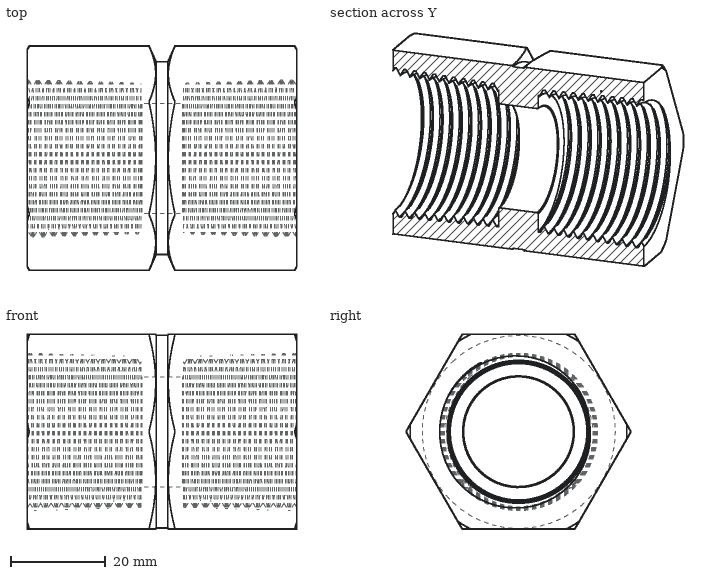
import math

import cadquery as cq

LENGTH = 57.0
ACROSS_FLATS = 41.2
CORNER_RADIUS = 0.5

END_FACE_RADIUS = 22.9
END_CHAMFER_ANGLE = 30.0

GROOVE_WIDTH = 2.5
GROOVE_RADIUS = 20.4
SHOULDER_ANGLE = 24.0

BORE_RADIUS = 11.6
BORE_CHAMFER = 0.2

THREAD_DEPTH = 24.0
MOUTH_CREST_RADIUS = 15.145
THREAD_HEIGHT = 1.55
PITCH = 2.209
ROOT_FLAT = 0.385
TAPER = 1 / 32
CREST_ANGLE_AT_MOUTH = -86.0
SPARE_TURNS = 2

HALF_LENGTH = LENGTH / 2
WEB_HALF_WIDTH = HALF_LENGTH - THREAD_DEPTH
CLEAR_RADIUS = ACROSS_FLATS


def hexagonal_bar():
    """Hexagonal bar with corners on the Y axis and rounded long edges."""
    corner_diameter = ACROSS_FLATS / math.cos(math.radians(30))
    bar = cq.Workplane("YZ").polygon(6, corner_diameter).extrude(HALF_LENGTH, both=True)
    return bar.edges("|X").fillet(CORNER_RADIUS)


def symmetric_revolve(right_half):
    """Solid about the X axis from (x, radius) points, mirrored to the -X side."""
    left_half = [(-x, radius) for x, radius in reversed(right_half)]
    profile = cq.Workplane("XY").polyline(left_half + right_half).close()
    return profile.revolve(360, (0, 0, 0), (1, 0, 0))


def turned_envelope():
    """Solid of revolution that chamfers the ends and forms the middle groove."""
    end_slope = math.tan(math.radians(END_CHAMFER_ANGLE))
    shoulder_slope = math.tan(math.radians(SHOULDER_ANGLE))
    groove_side = GROOVE_WIDTH / 2
    shoulder_end = groove_side + (CLEAR_RADIUS - GROOVE_RADIUS) * shoulder_slope
    chamfer_start = HALF_LENGTH - (CLEAR_RADIUS - END_FACE_RADIUS) * end_slope
    return symmetric_revolve(
        [
            (groove_side, GROOVE_RADIUS),
            (shoulder_end, CLEAR_RADIUS),
            (chamfer_start, CLEAR_RADIUS),
            (HALF_LENGTH, END_FACE_RADIUS),
            (HALF_LENGTH, 0),
        ]
    )


def web_bore():
    """Plain bore through the web, with its two edges chamfered."""
    return symmetric_revolve(
        [
            (WEB_HALF_WIDTH - BORE_CHAMFER, BORE_RADIUS),
            (WEB_HALF_WIDTH, BORE_RADIUS + BORE_CHAMFER),
            (WEB_HALF_WIDTH, 0),
        ]
    )


def crest_radius(height):
    """Radius of the thread crests at a height above the floor of the threaded hole."""
    return MOUTH_CREST_RADIUS - TAPER * (THREAD_DEPTH - height)


def thread_turn(base_height, radial_step, axial_step):
    """One turn of a tapered helix, stepped out from the crest radius and along the axis."""
    taper_angle = math.atan(TAPER)
    slant_pitch = PITCH / math.cos(taper_angle)
    helix = cq.Wire.makeHelix(
        slant_pitch,
        slant_pitch,
        crest_radius(base_height) + radial_step,
        cq.Vector(0, 0, base_height + axial_step),
        angle=math.degrees(taper_angle),
    )
    return helix.Edges()[0]


def helical_end_face(base_height):
    """Helicoid from one turn of the thread crest in to the axis."""
    axis = cq.Edge.makeLine(
        cq.Vector(0, 0, base_height), cq.Vector(0, 0, base_height + PITCH)
    )
    return cq.Face.makeRuledSurface(axis, thread_turn(base_height, 0, 0))


def axial_end_face(base_height, profile):
    """Flat face between the axis and one pitch of the thread profile."""
    radius = crest_radius(base_height)
    outline = [(radius + step, 0, base_height + rise) for step, rise in profile]
    outline += [(0, 0, base_height + PITCH), (0, 0, base_height)]
    points = [cq.Vector(*point) for point in outline]
    return cq.Face.makeFromWires(cq.Wire.makePolygon(points, close=True))


def threaded_hole():
    """Threaded hole along +Z, with its floor at Z = 0 and running out past its mouth."""
    flank_run = (PITCH - ROOT_FLAT) / 2
    profile = [
        (0, 0),
        (THREAD_HEIGHT, flank_run),
        (THREAD_HEIGHT, flank_run + ROOT_FLAT),
        (TAPER * PITCH, PITCH),
    ]
    turns_to_mouth = math.ceil(THREAD_DEPTH / PITCH) + SPARE_TURNS
    bottom = THREAD_DEPTH - turns_to_mouth * PITCH
    top = THREAD_DEPTH + SPARE_TURNS * PITCH

    faces = []
    for turn in range(turns_to_mouth + SPARE_TURNS):
        base = bottom + turn * PITCH
        edges = [thread_turn(base, step, rise) for step, rise in profile]
        for edge, next_edge in zip(edges, edges[1:]):
            faces.append(cq.Face.makeRuledSurface(edge, next_edge))
    for end in (bottom, top):
        faces.append(helical_end_face(end))
        faces.append(axial_end_face(end, profile))
    screw = cq.Workplane(cq.Solid.makeSolid(cq.Shell.makeShell(faces)))

    above_floor = cq.Workplane("XY").circle(CLEAR_RADIUS).extrude(2 * THREAD_DEPTH)
    return screw.intersect(above_floor).rotate((0, 0, 0), (0, 0, 1), CREST_ANGLE_AT_MOUTH)


left_hole = (
    threaded_hole()
    .rotate((0, 0, 0), (0, 1, 0), -90)
    .translate((-WEB_HALF_WIDTH, 0, 0))
)
right_hole = left_hole.rotate((0, 0, 0), (0, 0, 1), 180)

body = hexagonal_bar().intersect(turned_envelope())
result = body.cut(web_bore()).cut(left_hole).cut(right_hole)